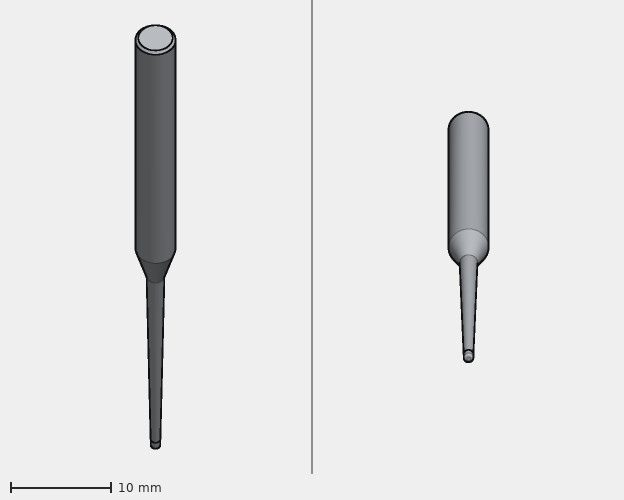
import cadquery as cq

total_length = 60.0
shank_radius = 4.0 / 2
shank_chamfer = 0.3

cone_bottom_z = 25.0
cone_top_z = 29.1

neck_top_radius = 0.9

tip_length = 1.1
tip_radius = 0.5
tip_corner_radius = 0.3


def make_holder():
    """Shank, transition cone and tapered neck as one revolved body."""
    return (
        cq.Workplane("XZ")
        .moveTo(0, tip_length)
        .lineTo(tip_radius, tip_length)
        .lineTo(neck_top_radius, cone_bottom_z)
        .lineTo(shank_radius, cone_top_z)
        .lineTo(shank_radius, total_length - shank_chamfer)
        .lineTo(shank_radius - shank_chamfer, total_length)
        .lineTo(0, total_length)
        .close()
        .revolve(360, (0, 0, 0), (0, 1, 0))
    )


def make_cutting_tip():
    """Short cylinder with a rounded lower corner, butted against the neck."""
    return (
        cq.Workplane("XY")
        .circle(tip_radius)
        .extrude(tip_length)
        .faces("<Z")
        .edges()
        .fillet(tip_corner_radius)
    )


holder = make_holder()
cutting_tip = make_cutting_tip()

result = cq.Compound.makeCompound([holder.val(), cutting_tip.val()])